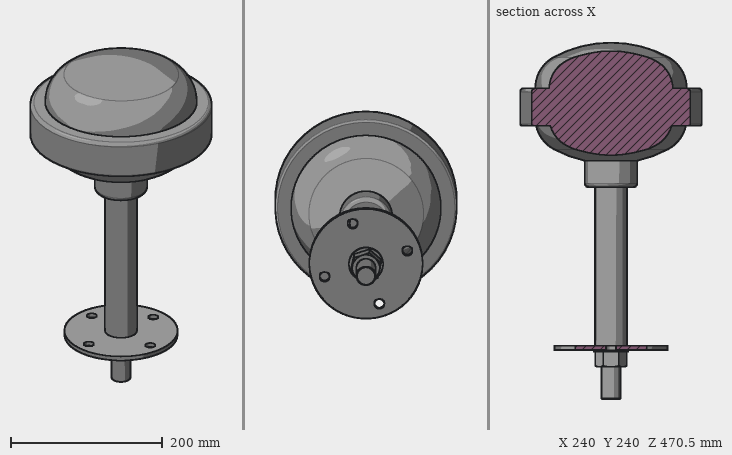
import cadquery as cq
import math

top_z = 470.5
head_middle_z = 390.5
dome_radius = 100.3
cap_rise = 19.5
cap_seam_radius = 76.0

collar_radius = 120.0
collar_top_z = 410.5
collar_height = 50.0
collar_top_fillet = 4.5
collar_bottom_fillet = 3.0

boss_radius = 35.0
boss_bottom_z = 279.5
boss_fillet = 5.5
pole_radius = 21.0

plate_radius = 75.0
plate_top_z = 70.5
plate_thickness = 6.0
hole_count = 4
hole_diameter = 13.0
hole_circle_radius = 57.5

washer_radius = 22.5
washer_thickness = 2.5
nut_across_flats = 36.2
nut_height = 20.0
nut_chamfer_angle = 30.0
stud_radius = 12.5
stud_chamfer = 1.0

cap_radius = (cap_seam_radius**2 + cap_rise**2) / (2 * cap_rise)
seam_angle = math.asin(cap_seam_radius / cap_radius)
shoulder_radius = (dome_radius - cap_seam_radius) / (1 - math.sin(seam_angle))
shoulder_center_r = dome_radius - shoulder_radius
seam_z = top_z - cap_rise
shoulder_center_z = seam_z - shoulder_radius * math.cos(seam_angle)

plate_bottom_z = plate_top_z - plate_thickness
washer_bottom_z = plate_bottom_z - washer_thickness
nut_bottom_z = washer_bottom_z - nut_height


def cylinder(radius, bottom_z, upper_z):
    return cq.Workplane("XY").workplane(offset=bottom_z).circle(radius).extrude(upper_z - bottom_z)


def make_head():
    cap_mid = (cap_radius * math.sin(seam_angle / 2),
               top_z - cap_radius * (1 - math.cos(seam_angle / 2)))
    shoulder_mid_angle = (seam_angle + math.pi / 2) / 2
    shoulder_mid = (shoulder_center_r + shoulder_radius * math.sin(shoulder_mid_angle),
                    shoulder_center_z + shoulder_radius * math.cos(shoulder_mid_angle))
    upper_half = (
        cq.Workplane("XZ")
        .moveTo(0, top_z)
        .threePointArc(cap_mid, (cap_seam_radius, seam_z))
        .threePointArc(shoulder_mid, (dome_radius, shoulder_center_z))
        .lineTo(dome_radius, head_middle_z)
        .lineTo(0, head_middle_z)
        .close()
        .revolve(360, (0, 0, 0), (0, 1, 0))
    )
    return upper_half.union(upper_half.mirror("XY", (0, 0, head_middle_z)))


def make_collar():
    collar = cylinder(collar_radius, collar_top_z - collar_height, collar_top_z)
    collar = collar.faces(">Z").edges().fillet(collar_top_fillet)
    return collar.faces("<Z").edges().fillet(collar_bottom_fillet)


def make_boss():
    boss = cylinder(boss_radius, boss_bottom_z, head_middle_z)
    return boss.faces("<Z").edges().fillet(boss_fillet)


def make_plate():
    plate = cylinder(plate_radius, plate_bottom_z, plate_top_z)
    holes = (
        cq.Workplane("XY")
        .workplane(offset=plate_bottom_z)
        .polarArray(hole_circle_radius, 0, 360, hole_count)
        .circle(hole_diameter / 2)
        .extrude(plate_thickness)
    )
    return plate.cut(holes)


def make_nut():
    corner_radius = nut_across_flats / math.sqrt(3)
    flat_radius = nut_across_flats / 2
    chamfer_height = (corner_radius - flat_radius) * math.tan(math.radians(nut_chamfer_angle))
    hexagon = (
        cq.Workplane("XY")
        .workplane(offset=nut_bottom_z)
        .polygon(6, 2 * corner_radius)
        .extrude(nut_height)
        .rotate((0, 0, 0), (0, 0, 1), 90)
    )
    envelope = (
        cq.Workplane("XZ")
        .moveTo(0, nut_bottom_z)
        .lineTo(flat_radius, nut_bottom_z)
        .lineTo(corner_radius, nut_bottom_z + chamfer_height)
        .lineTo(corner_radius, washer_bottom_z)
        .lineTo(0, washer_bottom_z)
        .close()
        .revolve(360, (0, 0, 0), (0, 1, 0))
    )
    return hexagon.intersect(envelope)


def make_stud():
    stud = cylinder(stud_radius, 0, plate_bottom_z)
    return stud.faces("<Z").edges().chamfer(stud_chamfer)


pole = cylinder(pole_radius, plate_bottom_z, head_middle_z)
washer = cylinder(washer_radius, washer_bottom_z, plate_bottom_z)

result = make_head()
for component in (make_collar(), make_boss(), pole, make_plate(), washer, make_nut(), make_stud()):
    result = result.union(component)